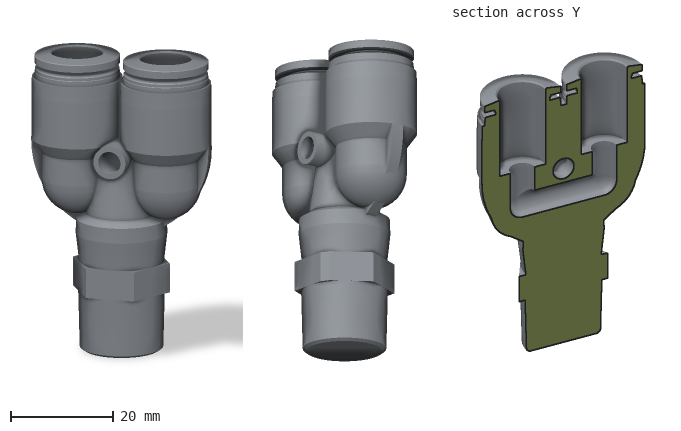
import cadquery as cq
import math

TOTAL_HEIGHT = 59.5
PORT_OFFSET = 9.0
SLEEVE_RADIUS = PORT_OFFSET

THREAD_TIP_RADIUS = 7.5
THREAD_END_RADIUS = 8.2
THREAD_ROOT_RADIUS = 8.5
THREAD_CHAMFER = 0.5
HEX_BOTTOM = 12.0
HEX_TOP = 17.9
HEX_ACROSS_FLATS = 17.0
HEX_SIDES = 6
HEX_CORNER_CLIP = 1.1

COLLAR_BASE_RADIUS = 8.35
COLLAR_BOTTOM = 23.6
COLLAR_TOP = 26.6
COLLAR_TOP_RADIUS = 8.9
NECK_BOTTOM = 27.7
NECK_BOTTOM_RADIUS = 7.05
NECK_TOP_RADIUS = 5.3

BOSS_HEIGHT = 39.9
BOSS_DIAMETER = 6.5
BOSS_LENGTH = 2 * SLEEVE_RADIUS
MOUNTING_HOLE_DIAMETER = 4.5

LOBE_RADIUS = 7.0
LOBE_CENTRE = 34.0
LOBE_TOP = 39.4
SLEEVE_BOTTOM = 42.1
SLEEVE_TAPER_START = 51.5
SLEEVE_TOP = 54.6
SLEEVE_TOP_RADIUS = 8.9
RING_RADIUS = 8.4
RING_STEP = 0.1
RING_STEP_HEIGHT = 55.65
RING_TOP = 56.5
RING_CHAMFER = 0.2
BUTTON_NECK_RADIUS = 6.0
BUTTON_NECK_TOP_RADIUS = 6.2
BUTTON_NECK_FLARE_BOTTOM = 56.9
BUTTON_NECK_FLARE_TOP = 57.3
BUTTON_BOTTOM = 57.5
BUTTON_RIM_HEIGHT = 58.9
BUTTON_RIM_CHAMFER = 0.15
BUTTON_MOUTH_RADIUS = 5.3

TUBE_BORE_RADIUS = 5.0
TUBE_BORE_CHAMFER = BUTTON_MOUTH_RADIUS - TUBE_BORE_RADIUS
TUBE_STOP_HEIGHT = SLEEVE_BOTTOM
PASSAGE_RADIUS = 5.3 / 2

FIN_THICKNESS = 2.5
FIN_ARC_CENTRE = 41.25
FIN_RADIUS = PORT_OFFSET + SLEEVE_RADIUS
BRIDGE_THICKNESS = 3.0
BRIDGE_WIDTH = 4.0


def revolve_profile(points):
    """Revolve a list of (radius, height) points about the Z axis."""
    return cq.Workplane("XZ").polyline(points).close().revolve(360, (0, 0), (0, 1))


def make_stem():
    return revolve_profile([
        (0, 0),
        (THREAD_TIP_RADIUS, 0),
        (THREAD_END_RADIUS, THREAD_CHAMFER),
        (THREAD_ROOT_RADIUS, HEX_BOTTOM),
        (COLLAR_BASE_RADIUS, HEX_TOP),
        (SLEEVE_RADIUS, COLLAR_BOTTOM),
        (COLLAR_TOP_RADIUS, COLLAR_TOP),
        (NECK_BOTTOM_RADIUS, NECK_BOTTOM),
        (NECK_TOP_RADIUS, BOSS_HEIGHT),
        (0, BOSS_HEIGHT),
    ])


def make_hexagon():
    corner_radius = HEX_ACROSS_FLATS / math.sqrt(3)
    blank = (
        cq.Workplane("XY")
        .workplane(offset=HEX_BOTTOM)
        .polygon(HEX_SIDES, 2 * corner_radius)
        .extrude(HEX_TOP - HEX_BOTTOM)
    )
    corner_x = -corner_radius / 2
    corner_y = HEX_ACROSS_FLATS / 2
    clipped_edge = cq.selectors.BoxSelector(
        (corner_x - HEX_CORNER_CLIP, corner_y - HEX_CORNER_CLIP, HEX_BOTTOM),
        (corner_x + HEX_CORNER_CLIP, corner_y + HEX_CORNER_CLIP, HEX_TOP),
    )
    return blank.edges("|Z").edges(clipped_edge).chamfer(HEX_CORNER_CLIP)


def make_port():
    """One port about the Z axis, closed below by a hemisphere."""
    quarter = math.sqrt(0.5) * LOBE_RADIUS
    profile = (
        cq.Workplane("XZ")
        .moveTo(0, LOBE_CENTRE - LOBE_RADIUS)
        .threePointArc((quarter, LOBE_CENTRE - quarter), (LOBE_RADIUS, LOBE_CENTRE))
        .lineTo(LOBE_RADIUS, LOBE_TOP)
        .lineTo(SLEEVE_RADIUS, SLEEVE_BOTTOM)
        .lineTo(SLEEVE_RADIUS, SLEEVE_TAPER_START)
        .lineTo(SLEEVE_TOP_RADIUS, SLEEVE_TOP)
        .lineTo(RING_RADIUS, SLEEVE_TOP)
        .lineTo(RING_RADIUS, RING_STEP_HEIGHT)
        .lineTo(RING_RADIUS - RING_STEP, RING_STEP_HEIGHT + RING_STEP)
        .lineTo(RING_RADIUS - RING_STEP, RING_TOP - RING_CHAMFER)
        .lineTo(RING_RADIUS - RING_STEP - RING_CHAMFER, RING_TOP)
        .lineTo(BUTTON_NECK_RADIUS, RING_TOP)
        .lineTo(BUTTON_NECK_RADIUS, BUTTON_NECK_FLARE_BOTTOM)
        .lineTo(BUTTON_NECK_TOP_RADIUS, BUTTON_NECK_FLARE_TOP)
        .lineTo(BUTTON_NECK_TOP_RADIUS, BUTTON_BOTTOM)
        .lineTo(RING_RADIUS, BUTTON_BOTTOM)
        .lineTo(RING_RADIUS, BUTTON_RIM_HEIGHT)
        .lineTo(RING_RADIUS - BUTTON_RIM_CHAMFER, BUTTON_RIM_HEIGHT + BUTTON_RIM_CHAMFER)
        .lineTo(BUTTON_MOUTH_RADIUS, TOTAL_HEIGHT)
        .lineTo(0, TOTAL_HEIGHT)
        .close()
    )
    return profile.revolve(360, (0, 0), (0, 1))


def make_fin():
    """Thin plate in the XZ plane, rounded below, with a bridge closing the gap between the sleeves."""
    lower = (
        cq.Workplane("XZ")
        .moveTo(-FIN_RADIUS, SLEEVE_BOTTOM)
        .lineTo(-FIN_RADIUS, FIN_ARC_CENTRE)
        .threePointArc((0, FIN_ARC_CENTRE - FIN_RADIUS), (FIN_RADIUS, FIN_ARC_CENTRE))
        .lineTo(FIN_RADIUS, SLEEVE_BOTTOM)
        .close()
        .extrude(FIN_THICKNESS / 2, both=True)
    )
    bridge = (
        cq.Workplane("XY")
        .workplane(offset=BOSS_HEIGHT)
        .rect(BRIDGE_WIDTH, BRIDGE_THICKNESS)
        .extrude(SLEEVE_TOP - BOSS_HEIGHT)
    )
    return lower.union(bridge)


def cylinder_along_y(diameter):
    return (
        cq.Workplane("XZ")
        .center(0, BOSS_HEIGHT)
        .circle(diameter / 2)
        .extrude(BOSS_LENGTH / 2, both=True)
    )


def make_port_bore():
    """Tube socket and reduced bore about the Z axis, ending in a ball at the lobe centre."""
    bore = revolve_profile([
        (0, LOBE_CENTRE),
        (PASSAGE_RADIUS, LOBE_CENTRE),
        (PASSAGE_RADIUS, TUBE_STOP_HEIGHT),
        (TUBE_BORE_RADIUS, TUBE_STOP_HEIGHT),
        (TUBE_BORE_RADIUS, TOTAL_HEIGHT - TUBE_BORE_CHAMFER),
        (BUTTON_MOUTH_RADIUS, TOTAL_HEIGHT),
        (0, TOTAL_HEIGHT),
    ])
    ball = cq.Workplane("XY").sphere(PASSAGE_RADIUS).translate((0, 0, LOBE_CENTRE))
    return bore.union(ball)


def make_cross_passage():
    """Horizontal passage along X joining the two port bores."""
    return (
        cq.Workplane("YZ")
        .center(0, LOBE_CENTRE)
        .circle(PASSAGE_RADIUS)
        .extrude(PORT_OFFSET, both=True)
    )


body = make_stem().union(make_hexagon()).union(make_fin())
for side in (-1, 1):
    body = body.union(make_port().translate((side * PORT_OFFSET, 0, 0)))
body = body.union(cylinder_along_y(BOSS_DIAMETER))

for side in (-1, 1):
    body = body.cut(make_port_bore().translate((side * PORT_OFFSET, 0, 0)))
body = body.cut(make_cross_passage())

result = body.cut(cylinder_along_y(MOUNTING_HOLE_DIAMETER))